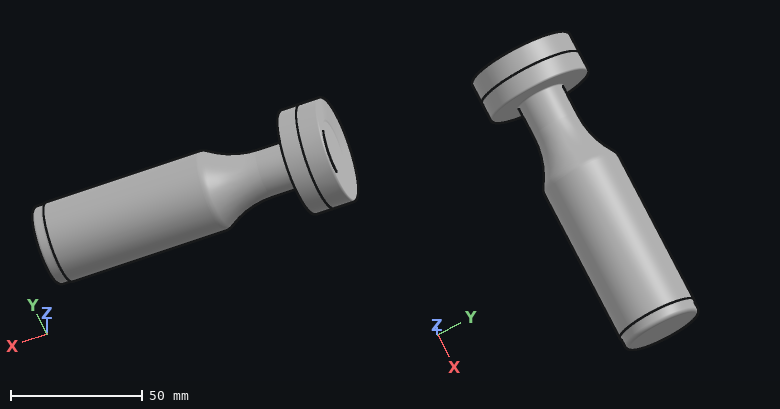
import cadquery as cq
import math

total_length = 120.0

head_diameter = 42.0
head_length = 16.9
cap_length = 8.9
head_edge_fillet = 0.8

dish_rim_diameter = 38.6
dish_cone_end_diameter = 24.4
dish_floor_diameter = 22.8
dish_cone_depth = 1.5
dish_depth = 1.7

neck_diameter = 19.0
neck_root_fillet = 0.6
neck_end = 30.1

grip_diameter = 32.0
grip_start = 51.8
grip_end = 114.7
shoulder_radius = 5.2

tail_diameter = 31.5
tail_start = 115.8
tail_fillet = 1.7

head_radius = head_diameter / 2
neck_radius = neck_diameter / 2
grip_radius = grip_diameter / 2
tail_radius = tail_diameter / 2

flare_length = grip_start - neck_end
flare_rise = grip_radius - neck_radius
flare_angle = 2 * math.atan2(flare_rise, flare_length)
flare_radius = flare_length / math.sin(flare_angle) - shoulder_radius
flare_end = (
    neck_end + flare_radius * math.sin(flare_angle),
    neck_radius + flare_radius * (1 - math.cos(flare_angle)),
)


def point_on_arc(center, radius, angle):
    """Point at an angle in radians on an arc in the profile plane."""
    return (center[0] + radius * math.cos(angle), center[1] + radius * math.sin(angle))


def turn(profile):
    """Revolve a closed half profile about the X axis."""
    return profile.revolve(360, (0, 0, 0), (1, 0, 0))


def make_cap():
    """Front half of the head, with a rounded rim and a dished face."""
    rim_center = (head_edge_fillet, head_radius - head_edge_fillet)
    profile = (
        cq.Workplane("XY")
        .moveTo(dish_depth, 0)
        .lineTo(dish_depth, dish_floor_diameter / 2)
        .lineTo(dish_cone_depth, dish_cone_end_diameter / 2)
        .lineTo(0, dish_rim_diameter / 2)
        .lineTo(0, rim_center[1])
        .threePointArc(
            point_on_arc(rim_center, head_edge_fillet, math.radians(135)),
            (head_edge_fillet, head_radius),
        )
        .lineTo(cap_length, head_radius)
        .lineTo(cap_length, 0)
        .close()
    )
    return turn(profile)


def make_handle():
    """Flange, neck, flared grip and tail turned as one body."""
    flange_edge_center = (head_length - head_edge_fillet, head_radius - head_edge_fillet)
    root_center = (head_length + neck_root_fillet, neck_radius + neck_root_fillet)
    flare_center = (neck_end, neck_radius + flare_radius)
    shoulder_center = (grip_start, grip_radius - shoulder_radius)
    tail_center = (total_length - tail_fillet, tail_radius - tail_fillet)

    step = grip_radius - tail_radius
    groove_length = tail_start - grip_end
    groove_radius = (groove_length**2 + step**2) / (2 * step)
    groove_center = (tail_start, tail_radius + groove_radius)
    groove_angle = math.asin(groove_length / groove_radius)

    down = -math.pi / 2
    up = math.pi / 2
    profile = (
        cq.Workplane("XY")
        .moveTo(cap_length, 0)
        .lineTo(cap_length, head_radius)
        .lineTo(flange_edge_center[0], head_radius)
        .threePointArc(
            point_on_arc(flange_edge_center, head_edge_fillet, math.radians(45)),
            (head_length, flange_edge_center[1]),
        )
        .lineTo(head_length, root_center[1])
        .threePointArc(
            point_on_arc(root_center, neck_root_fillet, math.radians(225)),
            (root_center[0], neck_radius),
        )
        .lineTo(neck_end, neck_radius)
        .threePointArc(point_on_arc(flare_center, flare_radius, down + flare_angle / 2), flare_end)
        .threePointArc(
            point_on_arc(shoulder_center, shoulder_radius, up + flare_angle / 2),
            (grip_start, grip_radius),
        )
        .lineTo(grip_end, grip_radius)
        .threePointArc(
            point_on_arc(groove_center, groove_radius, down - groove_angle / 2),
            (tail_start, tail_radius),
        )
        .lineTo(tail_center[0], tail_radius)
        .threePointArc(
            point_on_arc(tail_center, tail_fillet, math.radians(45)),
            (total_length, tail_center[1]),
        )
        .lineTo(total_length, 0)
        .close()
    )
    return turn(profile)


cap = make_cap()
handle = make_handle()

result = cq.Compound.makeCompound([cap.val(), handle.val()])